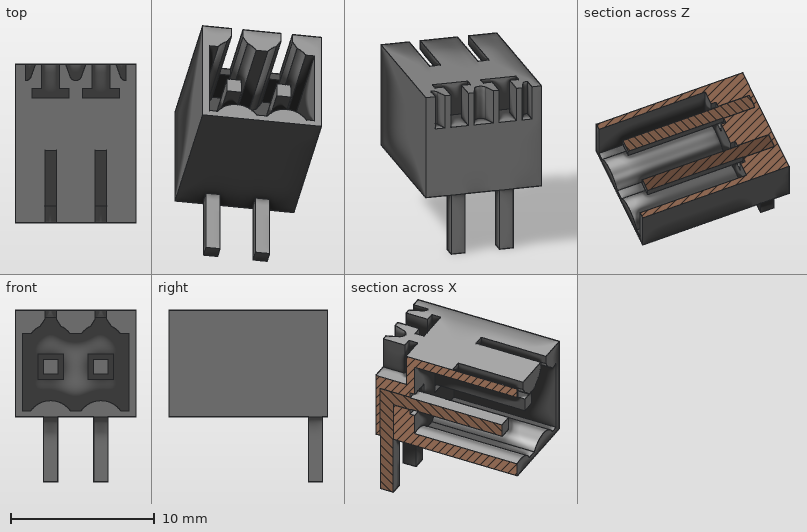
import cadquery as cq
import math


width = 8.4
depth = 11.05
total_height = 11.95
housing_height = 7.43
rear = depth

pitch = 3.5
contact_xs = [-pitch / 2, pitch / 2]

pin_side = 1.0
pin_axis_z = 3.49
pin_tip_y = 1.18
pin_rear_gap = 0.35
pin_tail = total_height - housing_height
pin_end_y = rear - pin_rear_gap
leg_y = pin_end_y - pin_side
pin_top_z = pin_axis_z + pin_side / 2

side_wall = 0.5
cavity_floor_z = 0.42
cavity_ceiling_z = housing_height - 1.61
cavity_width = width - 2 * side_wall
cavity_height = cavity_ceiling_z - cavity_floor_z
cavity_depth = 8.01
scallop_radius = 1.7
floor_scallop_rise = 0.72
ceiling_scallop_rise = 0.66

recess_side = 1.77
recess_depth = 0.36

slot_width = 0.8
slot_length = 5.05
groove_top_z = housing_height - 0.51
groove_flare_z = housing_height - 0.62
groove_mouth_z = housing_height - 1.17
groove_mouth_width = 1.52

rear_pocket_depth = 2.39
stem_width = 1.27
stem_length = 1.68
crossbar_width = 2.56
crossbar_length = 0.68
notch_half_width = 0.7
notch_length = 1.15
notch_radius = 0.42


def box(x_middle, y_start, z_bottom, x_size, y_size, z_size):
    """Block centred on x_middle, reaching up and back from its front lower edge."""
    block = cq.Workplane("XY").box(x_size, y_size, z_size, centered=(True, False, False))
    return block.translate((x_middle, y_start, z_bottom))


def lengthwise_cylinder(x, z, radius):
    """Round bar along Y, from the mating face to the rear of the cavity."""
    return cq.Workplane("XZ").center(x, z).circle(radius).extrude(-cavity_depth)


def make_groove(x):
    """Keyway with short upright sides at the slot's width, then flaring down to the ceiling scallop."""
    return (
        cq.Workplane("XZ")
        .moveTo(x - slot_width / 2, groove_top_z)
        .lineTo(x + slot_width / 2, groove_top_z)
        .lineTo(x + slot_width / 2, groove_flare_z)
        .lineTo(x + groove_mouth_width / 2, groove_mouth_z)
        .lineTo(x - groove_mouth_width / 2, groove_mouth_z)
        .lineTo(x - slot_width / 2, groove_flare_z)
        .close()
        .extrude(-cavity_depth)
    )


def make_cavity():
    cavity = box(0, 0, cavity_floor_z, cavity_width, cavity_depth, cavity_height)
    floor_axis_z = cavity_floor_z + floor_scallop_rise - scallop_radius
    ceiling_axis_z = cavity_ceiling_z + ceiling_scallop_rise - scallop_radius
    for x in contact_xs:
        cavity = cavity.cut(lengthwise_cylinder(x, floor_axis_z, scallop_radius))
        cavity = cavity.union(lengthwise_cylinder(x, ceiling_axis_z, scallop_radius))
        cavity = cavity.union(make_groove(x))
    return cavity


def make_keyway_slot(x):
    return box(x, 0, groove_top_z, slot_width, slot_length, housing_height - groove_top_z)


def make_pin_recess(x):
    return box(
        x, cavity_depth, pin_axis_z - recess_side / 2,
        recess_side, recess_depth, recess_side,
    )


def make_t_pocket(x):
    floor_z = housing_height - rear_pocket_depth
    stem_y = rear - stem_length
    stem = box(x, stem_y, floor_z, stem_width, stem_length, rear_pocket_depth)
    crossbar = box(
        x, stem_y - crossbar_length, floor_z,
        crossbar_width, crossbar_length, rear_pocket_depth,
    )
    return stem.union(crossbar)


def make_v_notch(x):
    """Notch whose straight flanks run tangent into a round bottom."""
    centre_depth = notch_length - notch_radius
    corner_to_centre = math.hypot(notch_half_width, centre_depth)
    tangent_angle = (
        math.acos(notch_radius / corner_to_centre)
        - math.atan2(centre_depth, notch_half_width)
    )
    tangent_x = notch_radius * math.cos(tangent_angle)
    tangent_y = rear - centre_depth - notch_radius * math.sin(tangent_angle)
    return (
        cq.Workplane("XY", origin=(x, 0, housing_height - rear_pocket_depth))
        .moveTo(-notch_half_width, rear)
        .lineTo(-tangent_x, tangent_y)
        .threePointArc((0, rear - notch_length), (tangent_x, tangent_y))
        .lineTo(notch_half_width, rear)
        .close()
        .extrude(rear_pocket_depth)
    )


def make_rear_notches():
    """One full notch between the contacts and a half notch at each outer pitch line."""
    notches = make_v_notch(0)
    for x in (-pitch, pitch):
        notches = notches.union(make_v_notch(x))
    between_pitch_lines = box(0, 0, 0, 2 * pitch, rear, housing_height)
    return notches.intersect(between_pitch_lines)


def make_pin(x):
    arm = box(x, pin_tip_y, pin_axis_z - pin_side / 2, pin_side, pin_end_y - pin_tip_y, pin_side)
    leg = box(x, leg_y, -pin_tail, pin_side, pin_side, pin_tail + pin_top_z)
    return arm.union(leg)


def make_housing(pins):
    housing = box(0, 0, 0, width, depth, housing_height)
    housing = housing.cut(make_cavity())
    housing = housing.cut(make_rear_notches())
    for x in contact_xs:
        housing = housing.cut(make_keyway_slot(x))
        housing = housing.cut(make_pin_recess(x))
        housing = housing.cut(make_t_pocket(x))
    for pin in pins:
        housing = housing.cut(pin)
    return housing


pins = [make_pin(x) for x in contact_xs]
housing = make_housing(pins)

result = cq.Compound.makeCompound([
    *housing.solids().vals(),
    *[pin.solids().val() for pin in pins],
])